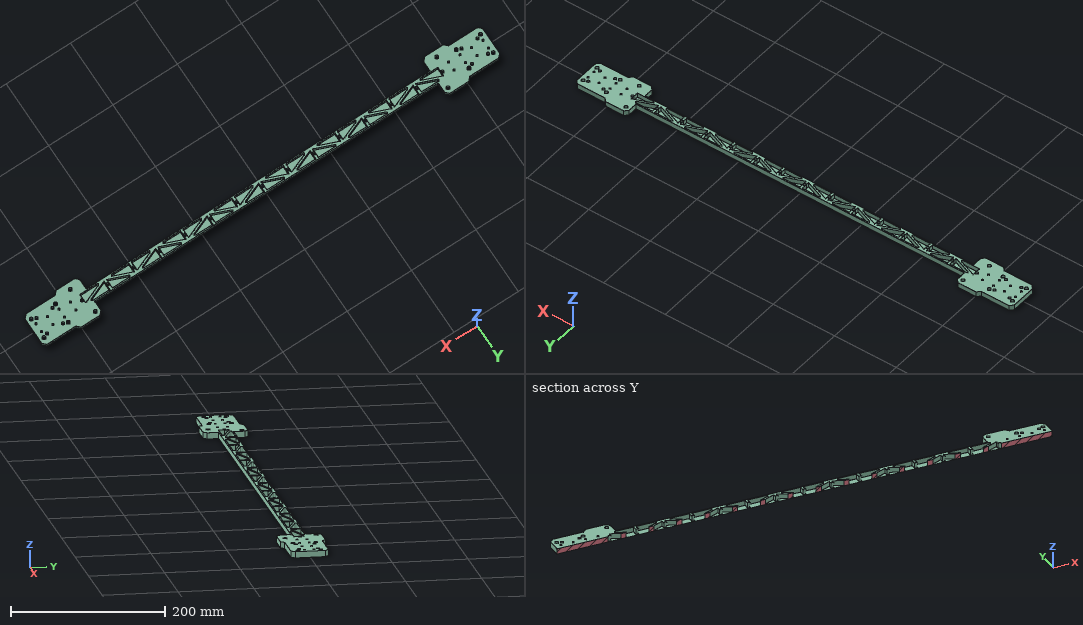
import cadquery as cq
import math

LENGTH = 712.0

PLATE_LENGTH = 89.0
NARROW_LENGTH = 50.0
NARROW_WIDTH = 50.0
WIDE_WIDTH = 60.0
CORNER_CHAMFER = 5.0

BEAM_WIDTH = 20.0
TRUSS_LENGTH = 560.0
CELL_COUNT = 14
RAIL_THICKNESS = 2.0
POST_THICKNESS = 4.0
DIAGONAL_THICKNESS = 3.0
POCKET_TIP_RADIUS = 1.5
POCKET_DEPTH = 7.0
FLOOR_THICKNESS = 1.5
NODE_HOLE_DIAMETER = 4.0

GRID_HOLE_DIAMETER = 2.5
GRID_START_X = 294.0
GRID_PITCH = 18.0
GRID_COLUMNS = 4
GRID_ROW_SPACING = 13.0

PATTERN_CENTER_X = 330.5
SQUARE_HOLE_DIAMETER = 4.0
SQUARE_SIZE = 25.0

LARGE_HOLE_DIAMETER = 5.0
OUTER_PATTERN_LENGTH = 38.0
OUTER_PATTERN_WIDTH = 30.0
SEAT_DEPTH = 4.0
SEAT_HOLE_DIAMETER = 2.5
UPPER_MOUNT_HOLE = (274.0, 22.0)
LOWER_MOUNT_HOLE = (285.0, -21.0)

THICKNESS = FLOOR_THICKNESS + POCKET_DEPTH
CELL_LENGTH = TRUSS_LENGTH / CELL_COUNT
POCKET_WIDTH = BEAM_WIDTH - 2 * RAIL_THICKNESS


def slab(length, width):
    """Full-height block that starts at X = 0 and is centred on Y."""
    return cq.Workplane("XY").box(length, width, THICKNESS, centered=(False, True, False))


def cylinders(points, diameter, bottom=0.0):
    """Cutters of one diameter from the bottom height up to the upper face."""
    plane = cq.Workplane("XY").workplane(offset=bottom)
    return plane.pushPoints(points).circle(diameter / 2).extrude(THICKNESS - bottom)


def row_pair(x, spacing):
    """Two points at the same X, symmetric about the centre line."""
    return [(x, spacing / 2), (x, -spacing / 2)]


def plate_blank():
    """Stepped plate at the +X end with chamfered corners."""
    narrow = slab(PLATE_LENGTH, NARROW_WIDTH).edges("|Z and >X").chamfer(CORNER_CHAMFER)
    wide = slab(PLATE_LENGTH - NARROW_LENGTH, WIDE_WIDTH).edges("|Z").chamfer(CORNER_CHAMFER)
    return narrow.union(wide).translate((LENGTH / 2 - PLATE_LENGTH, 0, 0))


def drilled_plate():
    """Plate at the +X end with all its holes."""
    grid = []
    for column in range(GRID_COLUMNS):
        grid += row_pair(GRID_START_X + column * GRID_PITCH, GRID_ROW_SPACING)

    square = row_pair(PATTERN_CENTER_X - SQUARE_SIZE / 2, SQUARE_SIZE)
    square += row_pair(PATTERN_CENTER_X + SQUARE_SIZE / 2, SQUARE_SIZE)

    large = row_pair(PATTERN_CENTER_X + OUTER_PATTERN_LENGTH / 2, OUTER_PATTERN_WIDTH)
    large += [UPPER_MOUNT_HOLE, LOWER_MOUNT_HOLE]

    seats = row_pair(PATTERN_CENTER_X - OUTER_PATTERN_LENGTH / 2, OUTER_PATTERN_WIDTH)

    plate = plate_blank()
    plate = plate.cut(cylinders(grid, GRID_HOLE_DIAMETER))
    plate = plate.cut(cylinders(square, SQUARE_HOLE_DIAMETER))
    plate = plate.cut(cylinders(large, LARGE_HOLE_DIAMETER))
    plate = plate.cut(cylinders(seats, LARGE_HOLE_DIAMETER, THICKNESS - SEAT_DEPTH))
    return plate.cut(cylinders(seats, SEAT_HOLE_DIAMETER))


def pocket_above_diagonal():
    """Triangular pocket above a diagonal that falls toward +X through the origin."""
    slope = POCKET_WIDTH / CELL_LENGTH
    edge_height = DIAGONAL_THICKNESS / 2 * math.hypot(1, slope)
    post_x = (CELL_LENGTH - POST_THICKNESS) / 2
    rail_y = POCKET_WIDTH / 2
    tip = ((edge_height - rail_y) / slope, rail_y)
    foot = (post_x, edge_height - slope * post_x)
    outline = cq.Workplane("XY").workplane(offset=FLOOR_THICKNESS)
    outline = outline.polyline([tip, foot, (post_x, rail_y)]).close()
    return outline.extrude(POCKET_DEPTH).edges("|Z and <X").fillet(POCKET_TIP_RADIUS)


def truss_pockets():
    """Two triangular pockets per cell; the diagonals between them fall and rise by turns."""
    upper = pocket_above_diagonal()
    lower = upper.rotate((0, 0, 0), (0, 0, 1), 180)
    falling_cell = upper.union(lower)
    rising_cell = falling_cell.mirror("YZ")

    pockets = cq.Workplane("XY")
    for cell in range(CELL_COUNT):
        cutter = rising_cell if cell % 2 else falling_cell
        center_x = (cell + 0.5) * CELL_LENGTH - TRUSS_LENGTH / 2
        pockets = pockets.union(cutter.translate((center_x, 0, 0)))
    return pockets


def node_holes():
    """Through holes where the posts stand and at both ends of the truss."""
    points = [(node * CELL_LENGTH - TRUSS_LENGTH / 2, 0) for node in range(CELL_COUNT + 1)]
    return cylinders(points, NODE_HOLE_DIAMETER)


plate = drilled_plate()
beam = slab(TRUSS_LENGTH, BEAM_WIDTH).translate((-TRUSS_LENGTH / 2, 0, 0))
result = beam.union(plate).union(plate.mirror("YZ"))
result = result.cut(truss_pockets()).cut(node_holes()).solids()